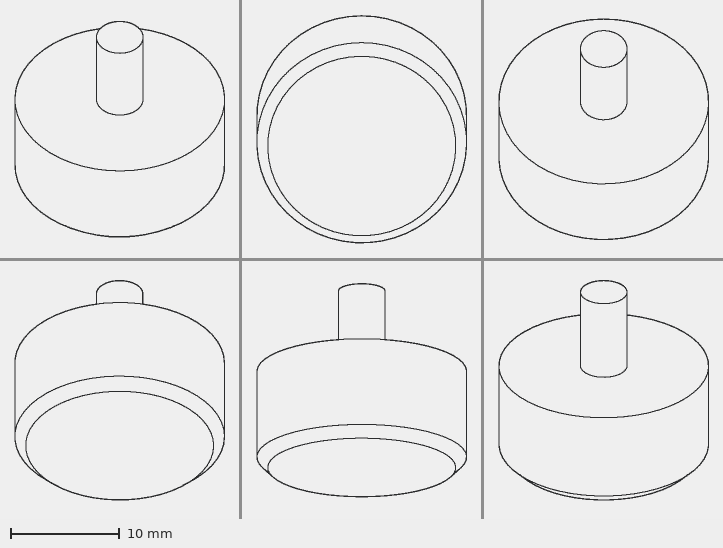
import cadquery as cq

total_height = 19.7
body_diameter = 19.3
pin_diameter = 4.3
pin_length = 7.8
tip_height = 2.6
chamfer_size = 1.0

body_radius = body_diameter / 2
pin_radius = pin_diameter / 2
cone_radius = body_radius - chamfer_size
tip_z = -total_height / 2
cone_top_z = tip_z + tip_height
chamfer_top_z = cone_top_z + chamfer_size
pin_top_z = tip_z + total_height
body_top_z = pin_top_z - pin_length

half_profile = (
    cq.Workplane("XZ")
    .moveTo(0, tip_z)
    .lineTo(cone_radius, cone_top_z)
    .lineTo(body_radius, chamfer_top_z)
    .lineTo(body_radius, body_top_z)
    .lineTo(pin_radius, body_top_z)
    .lineTo(pin_radius, pin_top_z)
    .lineTo(0, pin_top_z)
    .close()
)

result = half_profile.revolve(360, (0, 0, 0), (0, 1, 0))